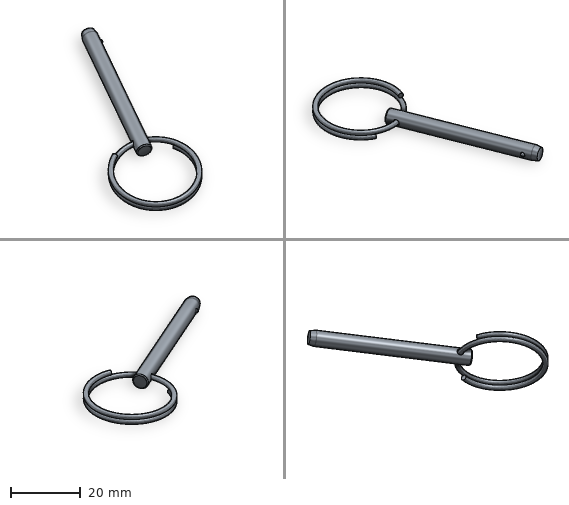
import cadquery as cq
import math

overall_length = 70.2

pin_diameter = 4.8
pin_length = 47.8
tip_diameter = 4.0
tip_length = 1.75
end_chamfer = 0.35
ring_hole_diameter = 1.9
ring_hole_x = 44.15

ball_diameter = 1.4
ball_x = 4.4
ball_protrusion = 0.5

ring_outer_diameter = 26.95
wire_diameter = 1.55
coil_pitch = 1.6
coil_turns = 1.75

pin_radius = pin_diameter / 2
ball_center = (ball_x, pin_radius + ball_protrusion - ball_diameter / 2, 0)
ring_center_x = overall_length - ring_outer_diameter / 2
coil_radius = (ring_outer_diameter - wire_diameter) / 2
coil_height = coil_pitch * coil_turns


def make_ball():
    return cq.Workplane("XY").sphere(ball_diameter / 2).translate(ball_center)


def make_pin():
    body = (
        cq.Workplane("XY")
        .moveTo(0, 0)
        .lineTo(0, tip_diameter / 2)
        .lineTo(tip_length, pin_radius)
        .lineTo(pin_length - end_chamfer, pin_radius)
        .lineTo(pin_length, pin_radius - end_chamfer)
        .lineTo(pin_length, 0)
        .close()
        .revolve(360, (0, 0, 0), (1, 0, 0))
    )
    ring_hole = (
        cq.Workplane("XZ")
        .center(ring_hole_x, 0)
        .circle(ring_hole_diameter / 2)
        .extrude(pin_radius, both=True)
    )
    return body.cut(ring_hole).cut(make_ball())


def make_ring():
    path = cq.Wire.makeHelix(coil_pitch, coil_height, coil_radius, lefthand=True)
    section_plane = cq.Plane(
        origin=(coil_radius, 0, 0),
        xDir=(1, 0, 0),
        normal=(0, -2 * math.pi * coil_radius, coil_pitch),
    )
    coil = (
        cq.Workplane(section_plane)
        .circle(wire_diameter / 2)
        .sweep(cq.Workplane(obj=path), isFrenet=True)
    )
    middle_angle = -360 * coil_turns / 2
    return (
        coil.rotate((0, 0, 0), (0, 0, 1), 180 - middle_angle)
        .translate((ring_center_x, 0, -coil_height / 2))
    )


pin = make_pin()
ball = make_ball()
ring = make_ring()

result = cq.Compound.makeCompound([pin.val(), ball.val(), ring.val()])